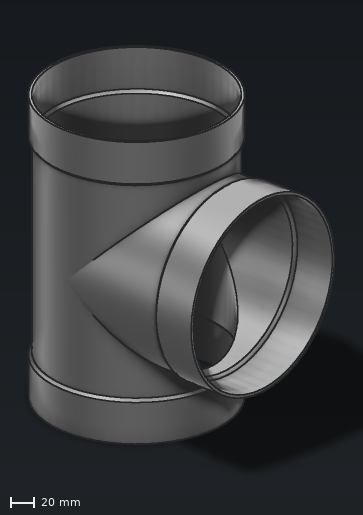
import cadquery as cq

height = 290.0
branch_reach = 145.0
bore_diameter = 174.0
pipe_diameter = 180.0
socket_diameter = 186.0

socket_length = 40.0
cone_length = (socket_diameter - pipe_diameter) / 2

half_height = height / 2
bore_radius = bore_diameter / 2
pipe_radius = pipe_diameter / 2
socket_radius = socket_diameter / 2
socket_bore_radius = pipe_radius


def mouth_points(narrow_radius, wide_radius, reach):
    """Half-profile points (radius, height) of a cone and socket ending at reach."""
    socket_start = reach - socket_length
    return [
        (narrow_radius, socket_start - cone_length),
        (wide_radius, socket_start),
        (wide_radius, reach),
    ]


def revolve_about_z(points):
    return cq.Workplane("XZ").polyline(points).close().revolve(360, (0, 0, 0), (0, 1, 0))


def main_run(narrow_radius, wide_radius):
    """Vertical run with a socket at both ends."""
    upper = mouth_points(narrow_radius, wide_radius, half_height)
    lower = [(radius, -z) for radius, z in reversed(upper)]
    return revolve_about_z([(0, -half_height)] + lower + upper + [(0, half_height)])


def branch(narrow_radius, wide_radius):
    """Arm from the centre to +X with a socket at its mouth."""
    mouth = mouth_points(narrow_radius, wide_radius, branch_reach)
    arm = revolve_about_z([(0, 0), (narrow_radius, 0)] + mouth + [(0, branch_reach)])
    return arm.rotate((0, 0, 0), (0, 1, 0), 90)


def tee(narrow_radius, wide_radius):
    return main_run(narrow_radius, wide_radius).union(branch(narrow_radius, wide_radius))


outside = tee(pipe_radius, socket_radius)
passage = tee(bore_radius, socket_bore_radius)
result = outside.cut(passage)